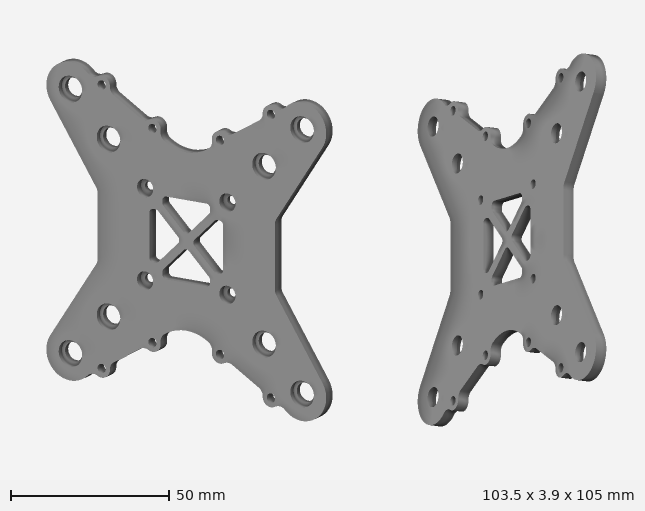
import cadquery as cq
import math

height = 105.0
width = 103.5
thickness = 3.9

tip_radius = 8.9
tip = (width / 2 - tip_radius, height / 2 - tip_radius)
lug_radius = 3.0
inner_lug = (12.5, 35.3)
outer_lug = (31.3, 46.7)
lug_blend_radius = 3.0
notch_radius = 14.7
notch_bottom = 29.4
notch = (0, notch_bottom + notch_radius)
waist_half_width = 32.8
waist_corner = (waist_half_width, 11.8)
waist_blend_radius = 3.8

arm_hole = (28.8, 29.3)
large_hole_diameter = 6.4
large_recess_diameter = 8.7
large_recess_depth = 2.0
mount_hole = (15.2, 15.2)
small_hole_diameter = 3.0
mount_recess_diameter = 6.0
mount_recess_depth = 2.4

window_base_offset = 13.6
window_base_half_width = 8.8
strut_width = 2.8
window_corner_radius = 1.5


def toward(start, end, distance):
    """Point at a distance from start along the line to end."""
    length = math.dist(start, end)
    return tuple(s + (e - s) * distance / length for s, e in zip(start, end))


def left_of(start, end, along, offset):
    """Point along the line from start to end, shifted to the left of that line."""
    x, z = toward(start, end, along)
    length = math.dist(start, end)
    return (x - offset * (end[1] - start[1]) / length, z + offset * (end[0] - start[0]) / length)


def circles_meet(first, first_radius, second, second_radius):
    """Crossing of two circles on the left of the line from the first centre to the second."""
    gap = math.dist(first, second)
    along = (first_radius**2 - second_radius**2 + gap**2) / (2 * gap)
    return left_of(first, second, along, math.sqrt(first_radius**2 - along**2))


def arc_middle(centre, start, end):
    """Middle point of the shorter arc from start to end about the centre."""
    chord_middle = ((start[0] + end[0]) / 2, (start[1] + end[1]) / 2)
    return toward(centre, chord_middle, math.dist(centre, start))


def add_arc(outline, centre, start, end):
    """Extend an outline that has reached start by an arc to end."""
    return outline.threePointArc(arc_middle(centre, start, end), end)


def quarter_plate():
    blend_reach = lug_radius + lug_blend_radius

    notch_blend = circles_meet(inner_lug, blend_reach, notch, notch_radius - lug_blend_radius)
    notch_end = toward(notch, notch_blend, notch_radius)
    inner_lug_start = toward(inner_lug, notch_blend, lug_radius)

    blend_along = math.sqrt(blend_reach**2 - lug_blend_radius**2)
    inner_blend = left_of(inner_lug, outer_lug, blend_along, lug_blend_radius)
    inner_lug_end = toward(inner_lug, inner_blend, lug_radius)
    edge_start = toward(inner_lug, outer_lug, blend_along)
    edge_end = toward(outer_lug, inner_lug, blend_along)
    outer_blend = left_of(outer_lug, inner_lug, blend_along, -lug_blend_radius)
    outer_lug_start = toward(outer_lug, outer_blend, lug_radius)

    tip_blend = circles_meet(outer_lug, blend_reach, tip, tip_radius + lug_blend_radius)
    outer_lug_end = toward(outer_lug, tip_blend, lug_radius)
    tip_start = toward(tip, tip_blend, tip_radius)

    side_length = math.sqrt(math.dist(waist_corner, tip) ** 2 - tip_radius**2)
    tip_end = circles_meet(tip, tip_radius, waist_corner, side_length)
    tip_far = toward(tip, (0, 0), -tip_radius)

    side_tilt = math.atan2(tip_end[0] - waist_corner[0], tip_end[1] - waist_corner[1])
    waist_trim = waist_blend_radius * math.tan(side_tilt / 2)
    side_end = toward(waist_corner, tip_end, waist_trim)
    waist_start = (waist_half_width, waist_corner[1] - waist_trim)
    waist_blend = (waist_half_width + waist_blend_radius, waist_start[1])

    outline = cq.Workplane("XZ").lineTo(0, notch_bottom)
    outline = add_arc(outline, notch, (0, notch_bottom), notch_end)
    outline = add_arc(outline, notch_blend, notch_end, inner_lug_start)
    outline = add_arc(outline, inner_lug, inner_lug_start, inner_lug_end)
    outline = add_arc(outline, inner_blend, inner_lug_end, edge_start)
    outline = outline.lineTo(*edge_end)
    outline = add_arc(outline, outer_blend, edge_end, outer_lug_start)
    outline = add_arc(outline, outer_lug, outer_lug_start, outer_lug_end)
    outline = add_arc(outline, tip_blend, outer_lug_end, tip_start)
    outline = outline.threePointArc(tip_far, tip_end)
    outline = outline.lineTo(*side_end)
    outline = add_arc(outline, waist_blend, side_end, waist_start)
    return outline.lineTo(waist_half_width, 0).close().extrude(-thickness)


def mirrored_points(*points):
    return [(sx * x, sz * z) for x, z in points for sx in (1, -1) for sz in (1, -1)]


def cylinders(points, diameter, depth):
    """Cutters running from the front face into the plate."""
    return cq.Workplane("XZ").pushPoints(points).circle(diameter / 2).extrude(-depth)


def window():
    """Cutter for the upper window: a triangle with clipped base corners, all corners rounded."""
    apex = strut_width / math.sqrt(2)
    return (
        cq.Workplane("XZ")
        .moveTo(0, apex)
        .lineTo(window_base_half_width, apex + window_base_half_width)
        .lineTo(window_base_half_width, window_base_offset)
        .lineTo(-window_base_half_width, window_base_offset)
        .lineTo(-window_base_half_width, apex + window_base_half_width)
        .close()
        .extrude(-thickness)
        .edges("|Y")
        .fillet(window_corner_radius)
    )


quarter = quarter_plate()
half = quarter.union(quarter.mirror("YZ"))
plate = half.union(half.mirror("XY")).clean()

large_holes = mirrored_points(tip, arm_hole)
mount_holes = mirrored_points(mount_hole)
lug_holes = mirrored_points(inner_lug, outer_lug)

plate = plate.cut(cylinders(large_holes, large_hole_diameter, thickness))
plate = plate.cut(cylinders(large_holes, large_recess_diameter, large_recess_depth))
plate = plate.cut(cylinders(mount_holes + lug_holes, small_hole_diameter, thickness))
plate = plate.cut(cylinders(mount_holes, mount_recess_diameter, mount_recess_depth))

upper_window = window()
for turn in range(4):
    plate = plate.cut(upper_window.rotate((0, 0, 0), (0, 1, 0), 90 * turn))

result = plate